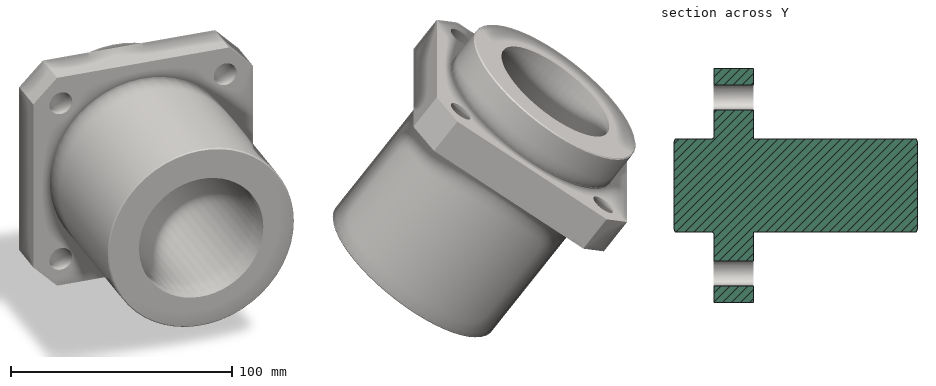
import cadquery as cq

length = 110.0
body_diameter = 90.0
bore_diameter = 60.1
end_chamfer = 0.5

flange_side = 106.0
flange_start = 18.0
flange_thickness = 18.0
corner_chamfer = 11.4
hole_diameter = 11.0
hole_spacing = 79.4

lip_width = 0.5
lip_height = 0.2


def make_sleeve():
    """Solid cylinder with both end rims chamfered."""
    sleeve = cq.Workplane("YZ").circle(body_diameter / 2).extrude(length)
    return sleeve.faces("<X or >X").chamfer(end_chamfer)


def make_flange():
    """Square plate with cut corners and a mounting hole near each corner."""
    plate = (
        cq.Workplane("YZ", origin=(flange_start, 0, 0))
        .rect(flange_side, flange_side)
        .extrude(flange_thickness)
        .edges("|X")
        .chamfer(corner_chamfer)
    )
    holes = (
        cq.Workplane("YZ", origin=(flange_start, 0, 0))
        .rect(hole_spacing, hole_spacing, forConstruction=True)
        .vertices()
        .circle(hole_diameter / 2)
        .extrude(flange_thickness)
    )
    return plate.cut(holes)


def make_lip():
    """Disc slightly larger than the sleeve, resting against the flange."""
    return (
        cq.Workplane("YZ", origin=(flange_start - lip_width, 0, 0))
        .circle(body_diameter / 2 + lip_height)
        .extrude(lip_width)
    )


bore = cq.Workplane("YZ").circle(bore_diameter / 2).extrude(length)
result = make_sleeve().union(make_flange()).union(make_lip()).cut(bore)